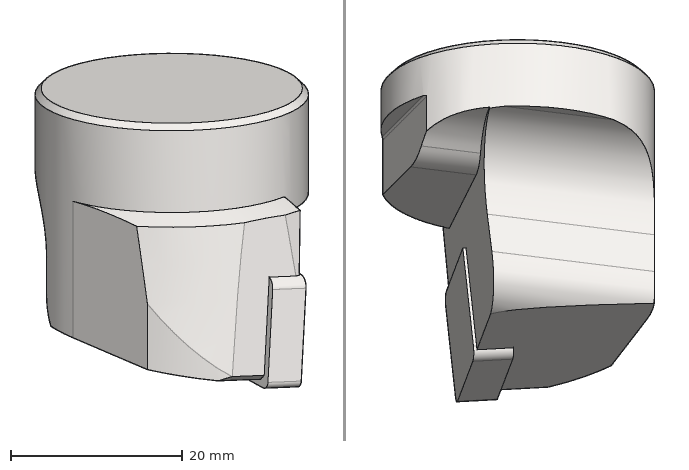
import cadquery as cq
import math

SHANK_RADIUS = 16.0
SHANK_LENGTH = 37.87
TOP_CHAMFER = 0.72
HEAD_DEPTH = 12.65
REAR_FLAT_Y = 14.0
REAR_FLAT_TOP = -5.6
REAR_ARC_X = -14.0
REAR_ARC_TOP = -8.55
REAR_ARC_RADIUS = 13.25
REAR_BEND_Z = -11.35
STEP_FILLET = 0.23

NECK_WALL_X = -5.5
NECK_ARC_RADIUS = 10.22
NECK_WALL_TOP = -18.7
NECK_WALL_BOTTOM = -23.3
HEEL_RADIUS = 6.05

LUMP_TOP = -10.65
LUMP_RIM_RADIUS = 19.28
LUMP_RIM_Z = -11.5
LUMP_FLARE = 0.119
CLEARANCE_RADIUS = 18.55
CLEARANCE_X = 3.2

RAKE_Y = 7.12
RAKE_SLOPE_X = 0.165
RAKE_SLOPE_Z = 0.124

TIP_X = 21.85
TIP_Z = -32.05
INSERT_EDGE = 13.18
INSERT_ANGLE = 80.0
LEAD_ANGLE = 5.0
INSERT_THICKNESS = 4.77
INSERT_PROUD = 0.38
NOSE_RADIUS = 0.8
OBTUSE_RADIUS = 1.5

INSERT_OVERHANG = 0.85
HOLDER_NOSE_CHAMFER = 0.7
RELIEF_POINTS = [(19.05, 2.45, -11.55), (19.28, -0.23, -11.55), (20.07, 0.72, -18.95)]

FAR = 94.68

tip_y = RAKE_Y - RAKE_SLOPE_X * TIP_X + RAKE_SLOPE_Z * TIP_Z
rake_plane = cq.Plane(
    origin=(TIP_X, tip_y, TIP_Z),
    xDir=(1, -RAKE_SLOPE_X, 0),
    normal=(-RAKE_SLOPE_X, -1, RAKE_SLOPE_Z),
)


def edge_direction(angle):
    return cq.Vector(math.cos(math.radians(angle)), math.sin(math.radians(angle)))


bottom_direction = edge_direction(180 - LEAD_ANGLE)
side_direction = edge_direction(180 - LEAD_ANGLE - INSERT_ANGLE)
tip_axis = rake_plane.xDir - rake_plane.yDir
obtuse_axis = rake_plane.xDir + rake_plane.yDir


def rhombus(corner, edge, start, depth):
    """Rhombic prism along the rake normal, with its sharp tip at a corner of the rake plane."""
    bottom_end = corner + bottom_direction * edge
    side_end = corner + side_direction * edge
    far_end = bottom_end + side_direction * edge
    points = [(p.x, p.y) for p in (corner, bottom_end, far_end, side_end)]
    return cq.Workplane(rake_plane).workplane(offset=start).polyline(points).close().extrude(depth)


def corner_edges(prism, direction):
    """Edges along the rake normal at the corner that lies farthest in a direction."""
    normal_edges = cq.selectors.ParallelDirSelector(rake_plane.zDir)
    farthest = cq.selectors.DirectionMinMaxSelector(direction, True)
    return prism.edges(normal_edges).edges(farthest)


def make_insert():
    prism = rhombus(cq.Vector(0, 0), INSERT_EDGE, -INSERT_PROUD, INSERT_THICKNESS)
    prism = corner_edges(prism, tip_axis).fillet(NOSE_RADIUS)
    for side in (1, -1):
        prism = corner_edges(prism, obtuse_axis * side).fillet(OBTUSE_RADIUS)
    return prism


def make_head():
    head = cq.Workplane("XY").circle(SHANK_RADIUS).extrude(-HEAD_DEPTH)
    head = head.faces(">Z").chamfer(TOP_CHAMFER)
    rear_flat = cq.Workplane("XY").box(FAR, FAR, FAR, centered=(True, False, False))
    rear_flat = rear_flat.translate((0, REAR_FLAT_Y, REAR_FLAT_TOP - FAR))
    rear_flat = rear_flat.edges("|X and >Z and <Y").fillet(STEP_FILLET)
    return head.cut(rear_flat).cut(rear_relief())


def rear_relief():
    arc_z = REAR_ARC_TOP - REAR_ARC_RADIUS
    bend_angle = math.acos((REAR_BEND_Z - arc_z) / REAR_ARC_RADIUS)
    bend_x = REAR_ARC_X + REAR_ARC_RADIUS * math.sin(bend_angle)
    convex_radius = (REAR_BEND_Z + HEAD_DEPTH) / (1 - math.cos(bend_angle))
    bottom_x = bend_x + convex_radius * math.sin(bend_angle)
    convex_z = convex_radius - HEAD_DEPTH
    half_sine = math.sin(bend_angle / 2)
    half_cosine = math.cos(bend_angle / 2)
    return (
        cq.Workplane("XZ")
        .moveTo(-FAR, REAR_ARC_TOP)
        .lineTo(REAR_ARC_X, REAR_ARC_TOP)
        .threePointArc(
            (REAR_ARC_X + REAR_ARC_RADIUS * half_sine, arc_z + REAR_ARC_RADIUS * half_cosine),
            (bend_x, REAR_BEND_Z),
        )
        .threePointArc(
            (bottom_x - convex_radius * half_sine, convex_z - convex_radius * half_cosine),
            (bottom_x, -HEAD_DEPTH),
        )
        .lineTo(bottom_x, -FAR)
        .lineTo(-FAR, -FAR)
        .close()
        .extrude(FAR, both=True)
    )


def neck_relief():
    arc_x = NECK_WALL_X - NECK_ARC_RADIUS
    arc_reach = NECK_ARC_RADIUS * math.sqrt(0.5)
    heel_x = NECK_WALL_X + HEEL_RADIUS
    heel_reach = HEEL_RADIUS * math.sqrt(0.5)
    return (
        cq.Workplane("XZ")
        .moveTo(-FAR, NECK_WALL_TOP + NECK_ARC_RADIUS)
        .lineTo(arc_x, NECK_WALL_TOP + NECK_ARC_RADIUS)
        .threePointArc((arc_x + arc_reach, NECK_WALL_TOP + arc_reach), (NECK_WALL_X, NECK_WALL_TOP))
        .lineTo(NECK_WALL_X, NECK_WALL_BOTTOM)
        .threePointArc(
            (heel_x - heel_reach, NECK_WALL_BOTTOM - heel_reach),
            (heel_x, NECK_WALL_BOTTOM - HEEL_RADIUS),
        )
        .lineTo(heel_x, -FAR)
        .lineTo(-FAR, -FAR)
        .close()
        .extrude(FAR, both=True)
    )


def make_lump():
    foot_radius = LUMP_RIM_RADIUS + LUMP_FLARE * (LUMP_RIM_Z + SHANK_LENGTH)
    cone = (
        cq.Workplane("XZ")
        .polyline([
            (0, LUMP_TOP),
            (SHANK_RADIUS, LUMP_TOP),
            (LUMP_RIM_RADIUS, LUMP_RIM_Z),
            (foot_radius, -SHANK_LENGTH),
            (0, -SHANK_LENGTH),
        ])
        .close()
        .revolve(360, (0, 0), (0, 1))
    )
    clearance = cq.Workplane("XY").center(CLEARANCE_X, 0).circle(CLEARANCE_RADIUS).extrude(-SHANK_LENGTH)
    quadrant = cq.Workplane("XY").box(FAR, FAR, FAR, centered=(False, False, True))
    return cone.intersect(clearance).intersect(quadrant.translate((0, -SHANK_RADIUS, 0)))


def corner_relief():
    """Half-space outside the sloping face above the insert."""
    top_rear, top_front, bottom = [cq.Vector(*p) for p in RELIEF_POINTS]
    along = top_front - top_rear
    outward = along.cross(bottom - top_rear)
    face = cq.Plane(origin=top_rear.toTuple(), xDir=along.toTuple(), normal=outward.toTuple())
    return cq.Workplane(face).rect(FAR, FAR).extrude(FAR)


def make_holder(insert):
    neck = cq.Workplane("XY").circle(SHANK_RADIUS).extrude(-SHANK_LENGTH)
    neck = neck.faces(">Z").chamfer(TOP_CHAMFER)
    neck = neck.union(make_lump()).cut(corner_relief()).cut(neck_relief())
    corner = (bottom_direction + side_direction) * (INSERT_OVERHANG / math.sin(math.radians(INSERT_ANGLE)))
    trim = rhombus(corner, 2 * FAR, 0, FAR)
    trim = corner_edges(trim, tip_axis).chamfer(HOLDER_NOSE_CHAMFER)
    return neck.intersect(trim).union(make_head()).cut(insert)


insert = make_insert()
holder = make_holder(insert)
result = cq.Compound.makeCompound([holder.val(), insert.val()])